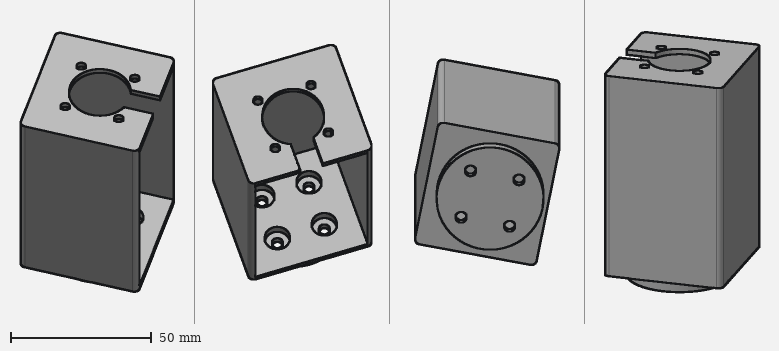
import cadquery as cq
import math

housing_x = 44.0
housing_y = 46.0
total_height = 81.0
wall = 2.0
corner_radius = 2.0

foot_diameter = 38.0
foot_height = 5.0

top_opening_diameter = 22.0
slot_width = 8.4
top_hole_diameter = 3.3
top_bolt_circle = 28.0

floor_hole_diameter = 4.0
floor_bolt_circle = 24.8
counterbore_diameter = 9.0
counterbore_depth = 4.0

cavity_axis_x = wall / 2
cavity_x = housing_x - wall
cavity_y = housing_y - 2 * wall
cavity_floor_z = foot_height + wall
cavity_height = total_height - wall - cavity_floor_z


def cylinder(diameter, bottom_z, height):
    """Upright cylinder on the cavity axis."""
    return (
        cq.Workplane("XY", origin=(cavity_axis_x, 0, bottom_z))
        .circle(diameter / 2)
        .extrude(height)
    )


def box_on_base(length, width, height, centre_x, bottom_z):
    """Box centred in Y, standing on the given height."""
    return (
        cq.Workplane("XY", origin=(centre_x, 0, bottom_z))
        .box(length, width, height, centered=(True, True, False))
    )


def four_cylinders(diameter, bolt_circle, bottom_z, height):
    """Four upright cylinders at the corners of a square about the cavity axis."""
    pitch = bolt_circle / math.sqrt(2)
    return (
        cq.Workplane("XY", origin=(cavity_axis_x, 0, bottom_z))
        .rarray(pitch, pitch, 2, 2)
        .circle(diameter / 2)
        .extrude(height)
    )


housing = box_on_base(housing_x, housing_y, total_height - foot_height, 0, foot_height)
housing = housing.edges("|Z").fillet(corner_radius)
body = housing.union(cylinder(foot_diameter, 0, foot_height))

body = body.cut(box_on_base(cavity_x, cavity_y, cavity_height, cavity_axis_x, cavity_floor_z))

top_plate_z = total_height - wall
slot_length = housing_x / 2 - cavity_axis_x
slot_centre_x = cavity_axis_x + slot_length / 2
body = body.cut(cylinder(top_opening_diameter, top_plate_z, wall))
body = body.cut(box_on_base(slot_length, slot_width, wall, slot_centre_x, top_plate_z))

body = body.cut(four_cylinders(top_hole_diameter, top_bolt_circle, top_plate_z, wall))

counterbore_z = cavity_floor_z - counterbore_depth
body = body.cut(four_cylinders(floor_hole_diameter, floor_bolt_circle, 0, cavity_floor_z))
body = body.cut(
    four_cylinders(counterbore_diameter, floor_bolt_circle, counterbore_z, counterbore_depth)
)

result = body